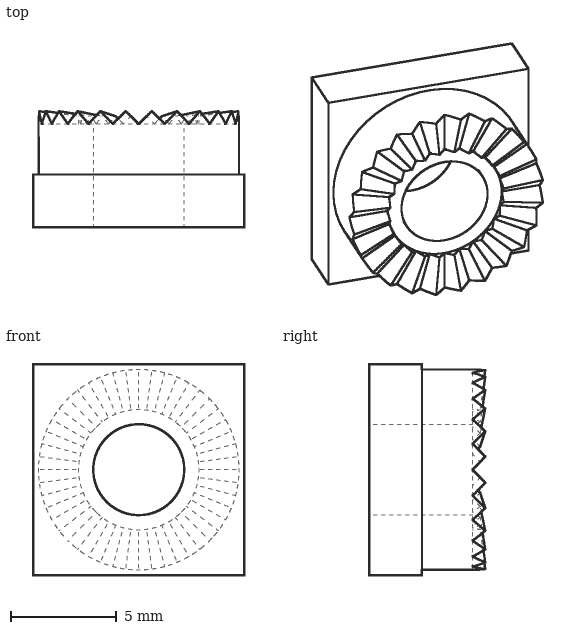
import cadquery as cq
import math

plate_side = 10.0
plate_thickness = 2.5
total_depth = 5.5
boss_diameter = 9.5
bore_diameter = 4.3
recess_diameter = 5.7
tooth_count = 24
tooth_height = 0.6

front_y = -total_depth / 2
back_y = total_depth / 2
boss_radius = boss_diameter / 2
tooth_pitch_angle = 360 / tooth_count


def cylinder_along_y(diameter, start_y, end_y):
    """Solid cylinder on the Y axis between two Y positions."""
    return (
        cq.Workplane("XZ", origin=(0, start_y, 0))
        .circle(diameter / 2)
        .extrude(start_y - end_y)
    )


def tooth_groove():
    """V groove across the full boss diameter, running along Z with a level floor."""
    half_width = boss_radius * math.sin(math.radians(tooth_pitch_angle / 2))
    top_scale = 2
    top_y = back_y + (top_scale - 1) * tooth_height
    return (
        cq.Workplane("XY")
        .moveTo(0, back_y - tooth_height)
        .lineTo(top_scale * half_width, top_y)
        .lineTo(-top_scale * half_width, top_y)
        .close()
        .extrude(boss_diameter, both=True)
    )


plate = cq.Workplane("XY").box(plate_side, plate_thickness, plate_side)
plate = plate.translate((0, front_y + plate_thickness / 2, 0))
boss = cylinder_along_y(boss_diameter, front_y + plate_thickness, back_y)

for index in range(tooth_count // 2):
    boss = boss.cut(tooth_groove().rotate((0, 0, 0), (0, 1, 0), index * tooth_pitch_angle))

bore = cylinder_along_y(bore_diameter, front_y, back_y)
recess = cylinder_along_y(recess_diameter, back_y - tooth_height, back_y)
result = plate.union(boss).cut(bore).cut(recess)